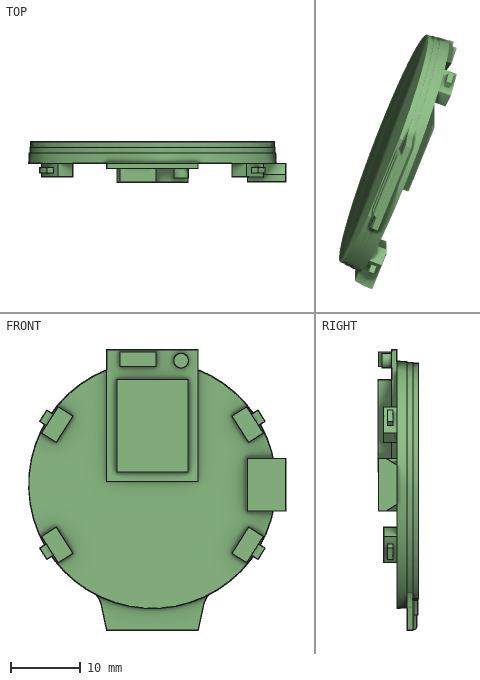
import cadquery as cq
import math


front_radius = 17.9
front_back_radius = 17.8
middle_radius = 17.73
rear_radius = 17.6
front_thickness = 1.45
middle_thickness = 0.85
rear_thickness = 0.8
rear_flat_z = -16.47

tab_bottom_z = -21.05
tab_half_width = 6.6
tab_shoulder = (7.35, -17.7)
tab_bend = (7.65, -16.65)
tab_root_x = 8.45
strip_half_width = 4.85
strip_top_z = -16.67
strip_step_z = -18.82
strip_bottom_z = -20.95
strip_thickness = 0.7
strip_step = 0.12
strip_round = 0.5

board_half_width = 6.6
board_z = (0.5, 19.5)
board_thickness = 0.77
module_half_width = 5.15
module_z = (1.83, 15.17)
module_front = 2.75
chip_x = (-4.65, 0.53)
chip_z = (17.1, 19.2)
chip_front = 2.68
post_center = (4.15, 17.95)
post_radius = 1.05
post_front = 2.15

connector_x = (13.7, 19.27)
connector_half_height = 3.8
connector_front = 2.68
connector_ledge_x = 15.5
connector_ledge_depth = 1.6
connector_slope_drop = 0.97

switch_angle = 32.3
switch_radius = 16.25
switch_width = 2.5
switch_length = 4.5
switch_height = 1.95
button_tip_radius = 18.65
button_length = 1.95
button_depth = (0.6, 1.38)


def box(x, y, z):
    """Box between the (low, high) limits along each axis."""
    size = [high - low for low, high in (x, y, z)]
    return cq.Workplane("XY").box(*size, centered=False).translate((x[0], y[0], z[0]))


def plane_at(y):
    """Sketch plane at height y: local axes are X and Z, extrusion goes toward -Y."""
    return cq.Workplane("XZ", origin=(0, y, 0))


middle_y = front_thickness
rear_y = middle_y + middle_thickness
back_y = rear_y + rear_thickness


def display():
    front = (
        plane_at(0).circle(front_radius)
        .workplane(offset=-front_thickness).circle(front_back_radius)
        .loft(ruled=True)
    )
    middle = plane_at(middle_y).circle(middle_radius).extrude(-middle_thickness)
    rear = plane_at(rear_y).circle(rear_radius).extrude(-rear_thickness)
    below_flat = box((-rear_radius, rear_radius), (rear_y, back_y), (-rear_radius, rear_flat_z))
    return front.union(middle).union(rear.cut(below_flat))


def tab():
    root_z = -math.sqrt(middle_radius**2 - tab_root_x**2)
    shoulder_x, shoulder_z = tab_shoulder
    bend_x, bend_z = tab_bend
    return (
        plane_at(middle_y)
        .moveTo(-tab_half_width, tab_bottom_z)
        .lineTo(tab_half_width, tab_bottom_z)
        .lineTo(shoulder_x, shoulder_z)
        .threePointArc((bend_x, bend_z), (tab_root_x, root_z))
        .lineTo(-tab_root_x, root_z)
        .threePointArc((-bend_x, bend_z), (-shoulder_x, shoulder_z))
        .close()
        .extrude(-middle_thickness)
    )


def strip():
    x = (-strip_half_width, strip_half_width)
    upper_y = (rear_y, rear_y + strip_thickness)
    lower_y = (rear_y, rear_y + strip_thickness - strip_step)
    upper = box(x, upper_y, (strip_step_z, strip_top_z))
    lower = box(x, lower_y, (strip_bottom_z, strip_step_z))
    upper = upper.edges("|Z and >Y").fillet(strip_round)
    lower = lower.edges(">Y and (|Z or <Z)").fillet(strip_round)
    return upper.union(lower)


def radio_board():
    board = box((-board_half_width, board_half_width), (-board_thickness, 0), board_z)
    module = box((-module_half_width, module_half_width), (-module_front, -board_thickness), module_z)
    chip = box(chip_x, (-chip_front, -board_thickness), chip_z)
    post = plane_at(-board_thickness).center(*post_center).circle(post_radius)
    return board.union(module).union(chip).union(post.extrude(post_front - board_thickness))


def connector():
    height = (-connector_half_height, connector_half_height)
    inner = box((connector_x[0], connector_ledge_x), (-connector_front, 0), height)
    back_half_height = connector_half_height - connector_slope_drop
    mouth = (
        cq.Workplane("YZ", origin=(connector_ledge_x, 0, 0))
        .polyline([
            (-connector_front, -connector_half_height),
            (-connector_ledge_depth, -connector_half_height),
            (0, -back_half_height),
            (0, back_half_height),
            (-connector_ledge_depth, connector_half_height),
            (-connector_front, connector_half_height),
        ])
        .close()
        .extrude(connector_x[1] - connector_ledge_x)
    )
    return inner.union(mouth)


def switch(angle):
    half_width = switch_width / 2
    half_length = switch_length / 2
    body = box(
        (switch_radius - half_width, switch_radius + half_width),
        (-switch_height, 0),
        (-half_length, half_length),
    )
    button = box(
        (switch_radius, button_tip_radius),
        (-button_depth[1], -button_depth[0]),
        (-button_length / 2, button_length / 2),
    )
    return body.union(button).rotate((0, 0, 0), (0, 1, 0), angle)


result = display().union(tab()).union(strip()).union(radio_board()).union(connector())
for side in (0, 180):
    for tilt in (-switch_angle, switch_angle):
        result = result.union(switch(side + tilt))